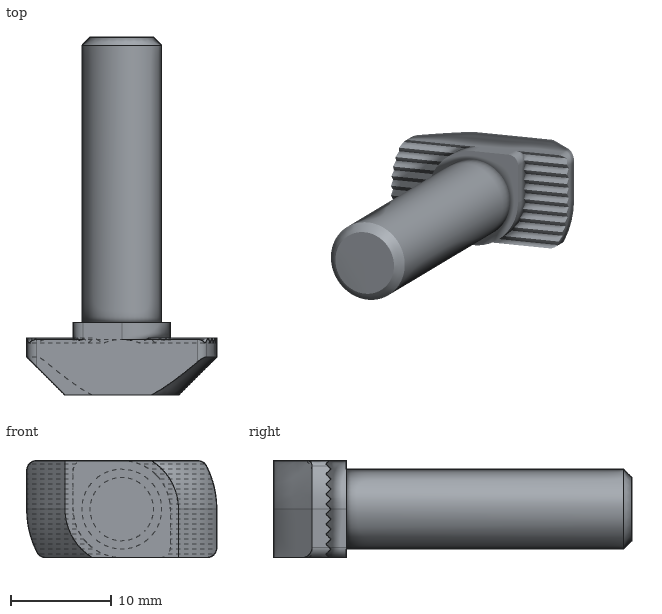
import cadquery as cq
import math

total_length = 35.8
head_length = 19.0
head_width = 9.7
head_depth = 5.73
collar_end = 7.25
bevel = 3.83
corner_radius = 1.0
shank_diameter = 8.0
shank_chamfer = 0.82
tooth_pitch = 1.0
tooth_depth = tooth_pitch / 2

half_length = head_length / 2
half_width = head_width / 2


def square_quadrants(half_x, start, end):
    """Boxes filling the two opposite quadrants (-X, +Z) and (+X, -Z)."""
    return (
        cq.Workplane("XZ", origin=(0, start, 0))
        .pushPoints([(-half_x / 2, half_width / 2), (half_x / 2, -half_width / 2)])
        .rect(half_x, half_width)
        .extrude(start - end)
    )


def quarter_turn_prism(half_x, start, end):
    """Rectangle with two opposite quadrants rounded about the Y axis, extruded along Y."""
    plane = cq.Workplane("XZ", origin=(0, start, 0))
    block = plane.rect(2 * half_x, head_width).extrude(start - end)
    round_bar = plane.circle(half_x).extrude(start - end)
    return block.intersect(round_bar).union(square_quadrants(half_x, start, end))


def round_corners(blank, corner_points):
    """Fillet the edge along Y nearest to each of the given points."""
    for point in corner_points:
        corner = cq.selectors.NearestToPointSelector(point)
        blank = blank.edges("|Y").edges(corner).fillet(corner_radius)
    return blank


def head_blank():
    """Head with its four corners rounded along the bolt axis."""
    blank = quarter_turn_prism(half_length, 0, head_depth)
    arc_corner_x = math.sqrt(half_length**2 - half_width**2)
    middle = head_depth / 2
    return round_corners(blank, [
        (-half_length, middle, half_width),
        (half_length, middle, -half_width),
        (arc_corner_x, middle, half_width),
        (-arc_corner_x, middle, -half_width),
    ])


def bevel_envelope():
    """Flat bevels on the square quadrants and conical bevels on the rounded ones."""
    front_half_length = half_length - bevel
    wedge = (
        cq.Workplane("XY", origin=(0, 0, -half_width))
        .polyline([
            (-front_half_length, 0),
            (front_half_length, 0),
            (half_length, bevel),
            (half_length, head_depth),
            (-half_length, head_depth),
            (-half_length, bevel),
        ])
        .close()
        .extrude(head_width)
    )
    cone = (
        cq.Workplane("XY")
        .polyline([
            (0, 0),
            (front_half_length, 0),
            (half_length, bevel),
            (half_length, head_depth),
            (0, head_depth),
        ])
        .close()
        .revolve(360, (0, 0, 0), (0, 1, 0))
    )
    flat_quadrants = wedge.intersect(square_quadrants(half_length, 0, head_depth))
    return cone.union(flat_quadrants)


def cut_teeth(head):
    """Cut V grooves along X across the back of the head, leaving a crest on the bolt axis."""
    groove_count = 2 * math.ceil(half_width / tooth_pitch)
    first_groove = -(groove_count - 1) / 2 * tooth_pitch
    for index in range(groove_count):
        z = first_groove + index * tooth_pitch
        groove = (
            cq.Workplane("YZ", origin=(-half_length, 0, 0))
            .moveTo(head_depth, z - tooth_pitch / 2)
            .lineTo(head_depth - tooth_depth, z)
            .lineTo(head_depth, z + tooth_pitch / 2)
            .close()
            .extrude(head_length)
        )
        head = head.cut(groove)
    return head


def collar():
    """Anti-turn collar with two rounded corners and two quarter-circle sides."""
    blank = quarter_turn_prism(half_width, bevel, collar_end)
    middle = (bevel + collar_end) / 2
    return round_corners(blank, [
        (-half_width, middle, half_width),
        (half_width, middle, -half_width),
    ])


def shank():
    """Plain round shank with a chamfered end."""
    return (
        cq.Workplane("XZ", origin=(0, bevel, 0))
        .circle(shank_diameter / 2)
        .extrude(-(total_length - bevel))
        .faces(">Y")
        .chamfer(shank_chamfer)
    )


head = cut_teeth(head_blank().intersect(bevel_envelope()))
result = head.union(collar()).union(shank())